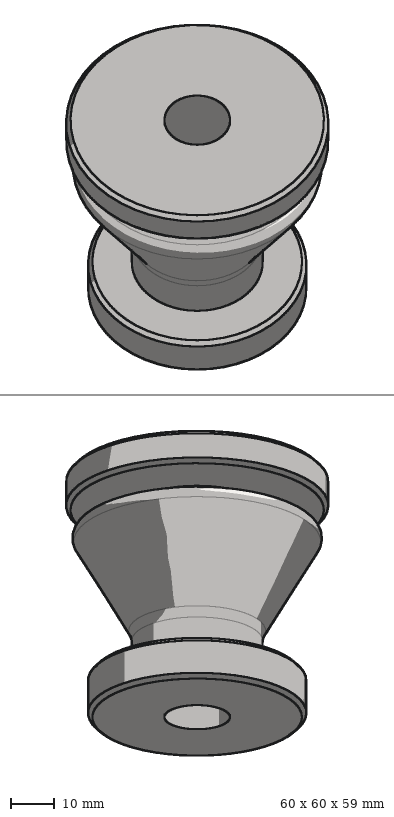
import cadquery as cq
import math

top_flange_diameter = 60.0
bottom_flange_diameter = 50.0
neck_diameter = 30.0
bore_diameter = 15.0
cone_sharp_diameter = 60.0

total_height = 59.0
bottom_flange_height = 10.0
top_flange_height = 8.0
groove_height = 5.0

cone_half_angle = 30.0
flange_chamfer = 1.0
rim_radius = 2.0
cone_root_radius = 5.0

top_flange_z = total_height - top_flange_height
cone_top_z = top_flange_z - groove_height
cone_height = (cone_sharp_diameter - neck_diameter) / 2 / math.tan(math.radians(cone_half_angle))
cone_bottom_z = cone_top_z - cone_height


def flange(diameter, height, base_z):
    """Disc with both outer edges chamfered."""
    disc = cq.Workplane("XY", origin=(0, 0, base_z)).circle(diameter / 2).extrude(height)
    return disc.edges().chamfer(flange_chamfer)


def conical_hub():
    """Neck that widens upward into a cone with a rounded rim and root."""
    neck_radius = neck_diameter / 2
    hub = (
        cq.Workplane("XZ")
        .moveTo(0, bottom_flange_height)
        .lineTo(neck_radius, bottom_flange_height)
        .lineTo(neck_radius, cone_bottom_z)
        .lineTo(cone_sharp_diameter / 2, cone_top_z)
        .lineTo(0, cone_top_z)
        .close()
        .revolve(360, (0, 0, 0), (0, 1, 0))
    )
    hub = hub.faces(">Z").edges("%CIRCLE").fillet(rim_radius)
    root_edge = cq.selectors.NearestToPointSelector((0, 0, cone_bottom_z))
    return hub.edges("%CIRCLE").edges(root_edge).fillet(cone_root_radius)


bottom_flange = flange(bottom_flange_diameter, bottom_flange_height, 0)
top_flange = flange(top_flange_diameter, top_flange_height, top_flange_z)

groove_neck = (
    cq.Workplane("XY", origin=(0, 0, cone_top_z)).circle(neck_diameter / 2).extrude(groove_height)
)

bore = cq.Workplane("XY").circle(bore_diameter / 2).extrude(total_height)

result = bottom_flange.union(conical_hub()).union(groove_neck).union(top_flange).cut(bore)